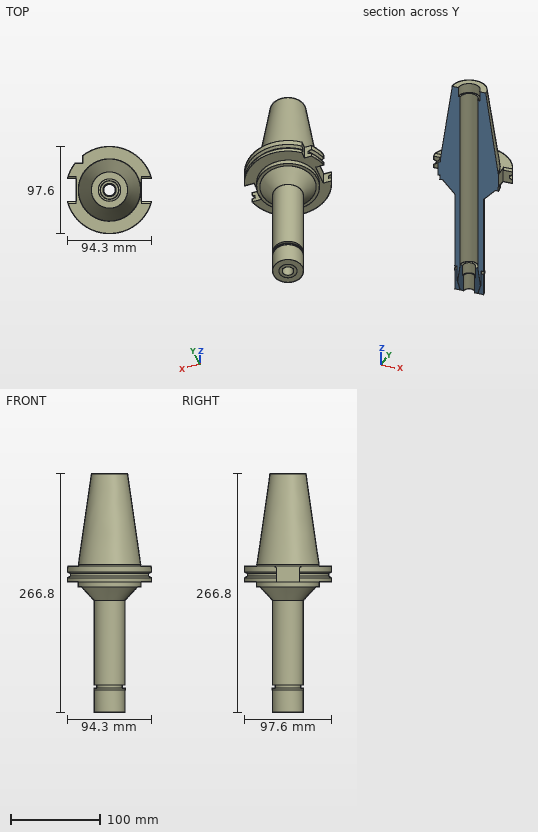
import cadquery as cq
import math


total_length = 266.8
taper_length = 101.5
bottom_z = taper_length - total_length

taper_large_radius = 35.0
taper_small_radius = 20.3
neck_radius = 34.7

flange_radius = 48.8
flange_top_z = -1.5
flange_bottom_z = -19.2
groove_floor_radius = 45.5
groove_center_z = -11.5
groove_floor_width = 3.0
groove_wall_angle = 30.0

slot_width = 25.3
slot_chamfer = 2.5
slot_floor_left = 37.3
slot_floor_right = 35.7
notch_corner = 30.1

shoulder_radius = 35.2
shoulder_bottom_z = -24.8
cone_top_radius = 31.5
cone_bottom_z = -40.0
body_radius = 17.3
body_bottom_height = 30.5
nose_radius = 14.5

thread_bore_radius = 12.5
thread_bore_depth = 11.7
through_bore_radius = 10.5

nut_height = 27.2
nut_radius = 17.3
nut_collar_radius = 17.5
nut_collar_height = 2.5

collet_length = 34.0
collet_cone_angle = 8.0
collet_front_radius = 10.1
collet_rear_radius = 10.1
collet_bore_radius = 6.5
collet_relief_radius = 7.5
collet_relief_depth = 13.3
nose_end_height = 11.2

body_bottom_z = bottom_z + body_bottom_height
nut_top_z = bottom_z + nut_height
nose_end_z = bottom_z + nose_end_height
collet_top_z = bottom_z + collet_length
collet_wide_radius = collet_rear_radius + (collet_top_z - nose_end_z) * math.tan(
    math.radians(collet_cone_angle)
)


def revolve_profile(points):
    """Turn a closed (radius, z) outline into a solid about the Z axis."""
    return cq.Workplane("XZ").polyline(points).close().revolve(360, (0, 0), (0, 1))


def cylinder(radius, low_z, high_z):
    return cq.Workplane("XY").workplane(offset=low_z).circle(radius).extrude(high_z - low_z)


def box_between(low_x, high_x, low_y, high_y, low_z, high_z):
    corner_box = cq.Workplane("XY").box(
        high_x - low_x, high_y - low_y, high_z - low_z, centered=False
    )
    return corner_box.translate((low_x, low_y, low_z))


def make_collet_blank():
    """Double cone of the collet without its bore."""
    return revolve_profile([
        (0, bottom_z),
        (collet_front_radius, bottom_z),
        (collet_wide_radius, nose_end_z),
        (collet_rear_radius, collet_top_z),
        (0, collet_top_z),
    ])


def make_flange():
    half_floor = groove_floor_width / 2
    groove_depth = flange_radius - groove_floor_radius
    half_mouth = half_floor + groove_depth * math.tan(math.radians(groove_wall_angle))
    flange = revolve_profile([
        (0, flange_bottom_z),
        (flange_radius, flange_bottom_z),
        (flange_radius, groove_center_z - half_mouth),
        (groove_floor_radius, groove_center_z - half_floor),
        (groove_floor_radius, groove_center_z + half_floor),
        (flange_radius, groove_center_z + half_mouth),
        (flange_radius, flange_top_z),
        (0, flange_top_z),
    ])
    flange = flange.cut(make_drive_slot(-flange_radius, -slot_floor_left))
    flange = flange.cut(make_drive_slot(slot_floor_right, flange_radius))
    notch = box_between(
        -flange_radius, -notch_corner, notch_corner, flange_radius, flange_bottom_z, flange_top_z
    )
    return flange.cut(notch)


def make_drive_slot(low_x, high_x):
    """Cutter for one drive slot, with its two upper edges chamfered."""
    half_width = slot_width / 2
    half_mouth = half_width + slot_chamfer
    return (
        cq.Workplane("YZ")
        .workplane(offset=low_x)
        .polyline([
            (-half_width, flange_bottom_z),
            (half_width, flange_bottom_z),
            (half_width, flange_top_z - slot_chamfer),
            (half_mouth, flange_top_z),
            (-half_mouth, flange_top_z),
            (-half_width, flange_top_z - slot_chamfer),
        ])
        .close()
        .extrude(high_x - low_x)
    )


def make_holder():
    taper = revolve_profile([
        (0, flange_top_z),
        (neck_radius, flange_top_z),
        (neck_radius, 0),
        (taper_large_radius, 0),
        (taper_small_radius, taper_length),
        (0, taper_length),
    ])
    body = revolve_profile([
        (0, flange_bottom_z),
        (shoulder_radius, flange_bottom_z),
        (shoulder_radius, shoulder_bottom_z),
        (cone_top_radius, shoulder_bottom_z),
        (body_radius, cone_bottom_z),
        (body_radius, body_bottom_z),
        (nose_radius, body_bottom_z),
        (nose_radius, nose_end_z),
        (0, nose_end_z),
    ])
    holder = taper.union(make_flange()).union(body)
    holder = holder.cut(cylinder(thread_bore_radius, taper_length - thread_bore_depth, taper_length))
    holder = holder.cut(cylinder(through_bore_radius, collet_top_z, taper_length))
    return holder.cut(make_collet_blank())


def make_nut():
    nut = cylinder(nut_radius, bottom_z, nut_top_z)
    nut = nut.union(cylinder(nut_collar_radius, nut_top_z - nut_collar_height, nut_top_z))
    nut = nut.cut(cylinder(nose_radius, nose_end_z, nut_top_z))
    return nut.cut(make_collet_blank())


def make_collet():
    collet = make_collet_blank().cut(cylinder(collet_bore_radius, bottom_z, collet_top_z))
    relief = cylinder(collet_relief_radius, collet_top_z - collet_relief_depth, collet_top_z)
    return collet.cut(relief)


holder = make_holder()
nut = make_nut()
collet = make_collet()

result = cq.Compound.makeCompound([holder.val(), nut.val(), collet.val()])